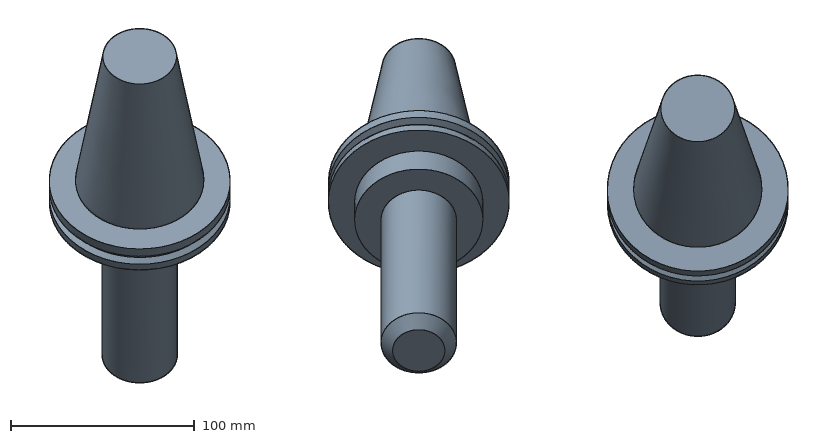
import cadquery as cq

total_height = 254.0
taper_length = 101.5
gauge_z = total_height - taper_length
neck_length = 1.5
flange_top_z = gauge_z - neck_length
flange_thickness = 17.5
flange_bottom_z = flange_top_z - flange_thickness
collar_length = 16.3
collar_bottom_z = flange_bottom_z - collar_length

flange_radius = 98.5 / 2
taper_large_radius = 69.8 / 2
taper_small_radius = 40.1 / 2
collar_radius = taper_large_radius
shank_radius = 20.5

groove_floor_radius = 45.7
groove_floor_width = 3.5
groove_wall_height = 1.5
groove_top_z = flange_top_z - 6.0

tip_radius = 14.2
tip_height = 6.9


def turned_body():
    """Taper, flange, collar and shank revolved from one half profile."""
    profile = [
        (0, 0),
        (tip_radius, 0),
        (shank_radius, tip_height),
        (shank_radius, collar_bottom_z),
        (collar_radius, collar_bottom_z),
        (collar_radius, flange_bottom_z),
        (flange_radius, flange_bottom_z),
        (flange_radius, flange_top_z),
        (taper_large_radius, flange_top_z),
        (taper_large_radius, gauge_z),
        (taper_small_radius, total_height),
        (0, total_height),
    ]
    return cq.Workplane("XZ").polyline(profile).close().revolve(360, (0, 0), (0, 1))


def flange_groove():
    """Ring with sloping walls, removed from the flange rim."""
    floor_top_z = groove_top_z - groove_wall_height
    floor_bottom_z = floor_top_z - groove_floor_width
    profile = [
        (flange_radius, groove_top_z),
        (groove_floor_radius, floor_top_z),
        (groove_floor_radius, floor_bottom_z),
        (flange_radius, floor_bottom_z - groove_wall_height),
    ]
    return cq.Workplane("XZ").polyline(profile).close().revolve(360, (0, 0), (0, 1))


result = turned_body().cut(flange_groove())